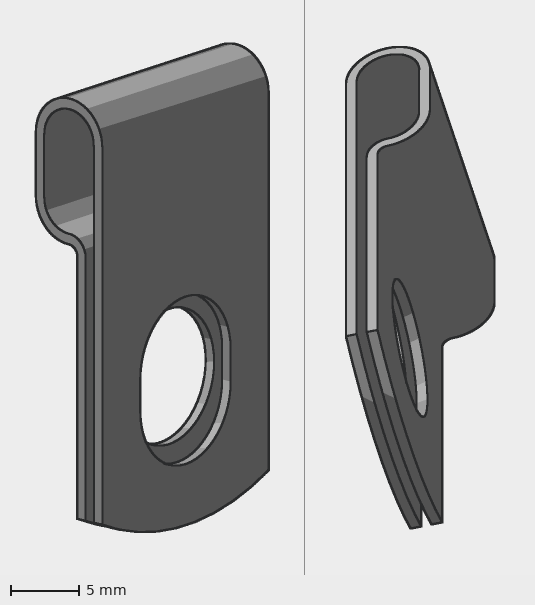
import cadquery as cq
import math

height = 34.1
width = 19.05
depth = 6.38
thickness = 0.82

loop_radius = depth / 2
loop_inner_radius = loop_radius - thickness
loop_straight = 4.77

bend_inner_radius = 0.8
bend_outer_radius = bend_inner_radius + thickness

hole_diameter = 10.33
hole_drop = 23.02
slot_straight = 2.45
end_sagitta = 2.15

top_center_z = height - loop_radius
lower_center_z = top_center_z - loop_straight
bend_center_z = lower_center_z - loop_radius - bend_inner_radius
hole_z = height - hole_drop

diagonal = math.sqrt(0.5)


def make_strip():
    """Bent strip of constant thickness, extruded across the full width."""
    return (
        cq.Workplane("XZ")
        .moveTo(loop_radius, 0)
        .lineTo(loop_radius, top_center_z)
        .threePointArc((0, height), (-loop_radius, top_center_z))
        .lineTo(-loop_radius, lower_center_z)
        .threePointArc(
            (-loop_radius * diagonal, lower_center_z - loop_radius * diagonal),
            (0, lower_center_z - loop_radius),
        )
        .threePointArc(
            (bend_inner_radius * diagonal, bend_center_z + bend_inner_radius * diagonal),
            (bend_inner_radius, bend_center_z),
        )
        .lineTo(bend_inner_radius, 0)
        .lineTo(bend_outer_radius, 0)
        .lineTo(bend_outer_radius, bend_center_z)
        .threePointArc(
            (bend_outer_radius * diagonal, bend_center_z + bend_outer_radius * diagonal),
            (0, bend_center_z + bend_outer_radius),
        )
        .threePointArc(
            (-loop_inner_radius * diagonal, lower_center_z - loop_inner_radius * diagonal),
            (-loop_inner_radius, lower_center_z),
        )
        .lineTo(-loop_inner_radius, top_center_z)
        .threePointArc((0, height - thickness), (loop_inner_radius, top_center_z))
        .lineTo(loop_inner_radius, 0)
        .close()
        .extrude(width / 2, both=True)
    )


def make_side_outline():
    """Block with the rounded lower end, spanning the depth of the clip."""
    return (
        cq.Workplane("YZ")
        .moveTo(-width / 2, height)
        .lineTo(-width / 2, end_sagitta)
        .threePointArc((0, 0), (width / 2, end_sagitta))
        .lineTo(width / 2, height)
        .close()
        .extrude(depth, both=True)
    )


def make_front_hole():
    """Round cutter that passes through the front leg only."""
    return (
        cq.Workplane("YZ")
        .center(0, hole_z)
        .circle(hole_diameter / 2)
        .extrude(bend_outer_radius)
    )


def make_back_slot():
    """Upright slot cutter for the back leg, as wide as the front hole."""
    return (
        cq.Workplane("YZ", origin=(bend_outer_radius, 0, 0))
        .center(0, hole_z)
        .slot2D(hole_diameter + slot_straight, hole_diameter, 90)
        .extrude(loop_radius)
    )


result = (
    make_strip()
    .intersect(make_side_outline())
    .cut(make_front_hole())
    .cut(make_back_slot())
)